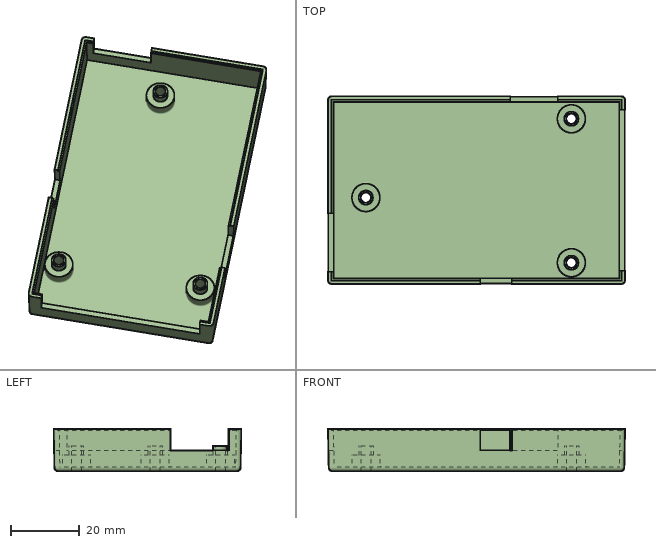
import cadquery as cq
import math

length = 87.0
width = 55.0
height = 12.4
wall = 1.6
floor = 1.4
draft_angle = 1.1
corner_radius = 1.2
bottom_radius = 1.2

rim_width = 1.05
rim_step_depth = 0.4

cutout_depth = 6.3
cutout_reach = 2.2
sill_height = height - cutout_depth
front_cutout = (1.1, 10.35)
back_cutout = (9.8, 23.8)
left_cutout = (-23.9, -6.8)
right_cutout = (-23.6, 23.6)

post_centers = [(-32.4, -2.2), (27.75, 20.9), (27.75, -21.2)]
boss_radius = 4.1
boss_height = 3.5
boss_fillet = 0.4
pin_radius = 2.1
pin_top = 7.5
hole_radius = 1.5


def tapered_shell():
    """Solid block, widest at the rim, with rounded corners and bottom edge."""
    block = (
        cq.Workplane("XY", origin=(0, 0, height))
        .sketch()
        .rect(length, width)
        .vertices()
        .fillet(corner_radius)
        .finalize()
        .extrude(-height, taper=draft_angle)
    )
    return block.faces("<Z").edges().fillet(bottom_radius)


def cavity():
    """Main pocket, drafted like the outside, and the shallow wider step at the rim."""
    pocket = (
        cq.Workplane("XY", origin=(0, 0, height))
        .rect(length - 2 * wall, width - 2 * wall)
        .extrude(floor - height, taper=draft_angle)
    )
    rim_step = (
        cq.Workplane("XY", origin=(0, 0, height - rim_step_depth))
        .rect(length - 2 * rim_width, width - 2 * rim_width)
        .extrude(rim_step_depth)
    )
    return pocket.union(rim_step)


def cutout(x_range, y_range):
    """Box from the sill height up to the rim, over the given plan ranges."""
    x_min, x_max = x_range
    y_min, y_max = y_range
    return cq.Workplane("XY").box(
        x_max - x_min, y_max - y_min, cutout_depth, centered=False
    ).translate((x_min, y_min, sill_height))


def post(center):
    """Boss with a concave fillet at its foot, and a pin on top."""
    boss_top = floor + boss_height
    foot_radius = boss_radius + boss_fillet
    fillet_mid = boss_fillet * (1 - math.sqrt(0.5))
    return (
        cq.Workplane("XZ")
        .lineTo(foot_radius, 0)
        .lineTo(foot_radius, floor)
        .threePointArc(
            (boss_radius + fillet_mid, floor + fillet_mid),
            (boss_radius, floor + boss_fillet),
        )
        .lineTo(boss_radius, boss_top)
        .lineTo(pin_radius, boss_top)
        .lineTo(pin_radius, pin_top)
        .lineTo(0, pin_top)
        .close()
        .revolve(360, (0, 0), (0, 1))
        .translate(center)
    )


half_length = length / 2
half_width = width / 2

result = tapered_shell().cut(cavity())

result = result.cut(cutout(front_cutout, (-half_width, -half_width + cutout_reach)))
result = result.cut(cutout(back_cutout, (half_width - cutout_reach, half_width)))
result = result.cut(cutout((-half_length, -half_length + cutout_reach), left_cutout))
result = result.cut(cutout((half_length - cutout_reach, half_length), right_cutout))

for post_center in post_centers:
    result = result.union(post(post_center))

holes = cq.Workplane("XY").pushPoints(post_centers).circle(hole_radius).extrude(height)
result = result.cut(holes)